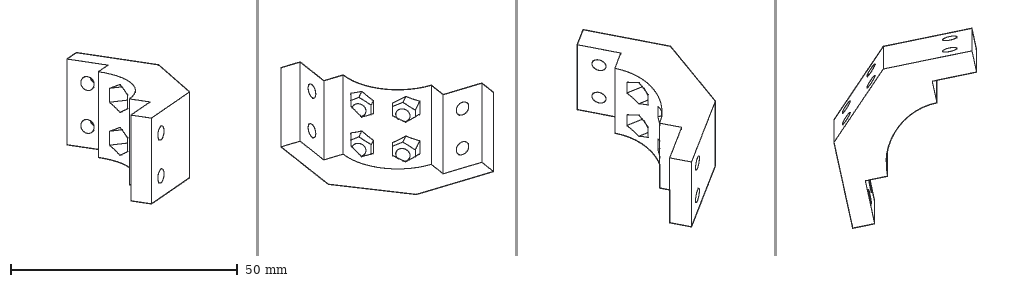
import cadquery as cq
import math

overall = 34.15
height = 20.0
flange_thickness = 5.0
flange_length = 10.0
step_depth = 10.0
hole_diameter = 3.2
nut_across_corners = 6.5
nut_floor_thickness = 8.13

arc_radius = overall - flange_length - step_depth
bevel_leg = arc_radius
hole_heights = (height / 4, 3 * height / 4)
bevel_middle = overall - bevel_leg / 2
bolt_offset = bevel_leg * math.sqrt(2) / 4


def bracket_body():
    """Corner bracket with two flanges, a concave inner arc and a bevelled outer corner."""
    arc_middle = flange_length + arc_radius / math.sqrt(2)
    step = overall - step_depth
    flange_face = overall - flange_thickness
    return (
        cq.Workplane("XY")
        .moveTo(0, overall)
        .lineTo(overall - bevel_leg, overall)
        .lineTo(overall, overall - bevel_leg)
        .lineTo(overall, 0)
        .lineTo(flange_face, 0)
        .lineTo(flange_face, flange_length)
        .lineTo(step, flange_length)
        .threePointArc((arc_middle, arc_middle), (flange_length, step))
        .lineTo(flange_length, flange_face)
        .lineTo(0, flange_face)
        .close()
        .extrude(height)
    )


def flange_holes():
    """Two through holes at the middle of each flange."""
    points = [(flange_length / 2, z) for z in hole_heights]
    radius = hole_diameter / 2
    along_y = (
        cq.Workplane("XZ", origin=(0, overall, 0))
        .pushPoints(points)
        .circle(radius)
        .extrude(flange_thickness)
    )
    along_x = (
        cq.Workplane("YZ", origin=(overall, 0, 0))
        .pushPoints(points)
        .circle(radius)
        .extrude(-flange_thickness)
    )
    return along_y.union(along_x)


def bevel_bolt_cutters():
    """Four bolt holes square to the bevel, each with a hexagonal nut pocket open to the arc."""
    bevel_plane = cq.Plane(
        origin=(bevel_middle, bevel_middle, 0), xDir=(1, -1, 0), normal=(-1, -1, 0)
    )
    points = [(side * bolt_offset, z) for side in (-1, 1) for z in hole_heights]
    cutters = (
        cq.Workplane(bevel_plane)
        .pushPoints(points)
        .circle(hole_diameter / 2)
        .extrude(arc_radius)
    )
    corner_radius = nut_across_corners / 2
    corner_angles = [math.radians(60 * corner) for corner in range(6)]
    hexagon = [(corner_radius * math.sin(a), corner_radius * math.cos(a)) for a in corner_angles]
    for x, y in points:
        cutters = cutters.union(
            cq.Workplane(bevel_plane)
            .workplane(offset=nut_floor_thickness)
            .polyline([(x + u, y + v) for u, v in hexagon])
            .close()
            .extrude(arc_radius / 2)
        )
    return cutters


result = bracket_body().cut(flange_holes()).cut(bevel_bolt_cutters())